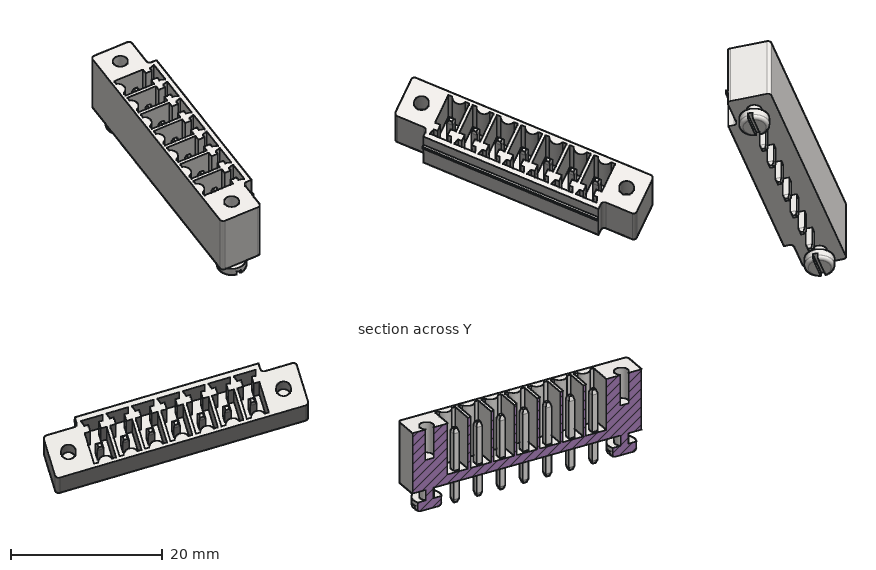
import cadquery as cq

LENGTH = 34.8
HEIGHT = 9.2
FLANGE_HALF_DEPTH = 3.0
CORNER_RADIUS = 0.5
REAR_BLOCK_LENGTH = 25.25
REAR_FACE_Y = 4.25

RIB_PROJECTION = 0.3
RIB_HEIGHT = 0.6
RIB_TOP_DROP = 2.9

CONTACT_COUNT = 7
ROW_SPAN = 21.02
PITCH = ROW_SPAN / (CONTACT_COUNT - 1)

CAVITY_WIDTH = 3.03
CAVITY_FRONT_Y = -2.5
FLOOR_THICKNESS = 1.5
CAVITY_DEPTH = HEIGHT - FLOOR_THICKNESS
NECK_WIDTH = 1.45
NECK_FRONT_Y = 1.8
NECK_REAR_Y = 2.75
DOVETAIL_FRONT_WIDTH = 2.5
DOVETAIL_REAR_Y = 3.5
KEY_RADIUS = 1.0
KEY_CENTRE_Y = -2.85

PIN_WIDTH = 0.87
PIN_TIP_WIDTH = 0.5
PIN_TAPER = 0.6
PIN_BOTTOM_Z = -3.4
PIN_TOP_DROP = 1.45
PIN_TOP_Z = HEIGHT - PIN_TOP_DROP

SCREW_X = 14.8
SCREW_DIAMETER = 2.0
HEAD_DIAMETER = 4.0
SHANK_LENGTH = 1.5
HEAD_HEIGHT = 1.5
HEAD_EDGE_RADIUS = 0.5
SLOT_WIDTH = 0.65
SLOT_DEPTH = 0.8
SCREW_HOLE_DEPTH = HEIGHT / 2


def make_housing():
    """T-shaped block: a long flange with a shorter block behind it, and a rib on the rear face."""
    half_length = LENGTH / 2
    half_block = REAR_BLOCK_LENGTH / 2
    outline = [
        (-half_length, -FLANGE_HALF_DEPTH),
        (half_length, -FLANGE_HALF_DEPTH),
        (half_length, FLANGE_HALF_DEPTH),
        (half_block, FLANGE_HALF_DEPTH),
        (half_block, REAR_FACE_Y),
        (-half_block, REAR_FACE_Y),
        (-half_block, FLANGE_HALF_DEPTH),
        (-half_length, FLANGE_HALF_DEPTH),
    ]
    block = cq.Workplane("XY").polyline(outline).close().extrude(HEIGHT)
    block = block.edges("|Z").edges("not >Y").fillet(CORNER_RADIUS)
    rib_centre_z = HEIGHT - RIB_TOP_DROP - RIB_HEIGHT / 2
    rib = cq.Workplane("XY").box(REAR_BLOCK_LENGTH, 2 * RIB_PROJECTION, RIB_HEIGHT)
    rib = rib.translate((0, REAR_FACE_Y, rib_centre_z))
    return block.union(rib)


def make_cavity():
    """Contact cavity open at the top: main chamber, neck, dovetail and a rounded key at the front."""
    half_cavity = CAVITY_WIDTH / 2
    half_neck = NECK_WIDTH / 2
    half_dovetail = DOVETAIL_FRONT_WIDTH / 2
    right_side = [
        (half_cavity, CAVITY_FRONT_Y),
        (half_cavity, NECK_FRONT_Y),
        (half_neck, NECK_FRONT_Y),
        (half_neck, NECK_REAR_Y),
        (half_dovetail, NECK_REAR_Y),
        (half_cavity, DOVETAIL_REAR_Y),
    ]
    left_side = [(-x, y) for x, y in reversed(right_side)]
    floor = cq.Workplane("XY").workplane(offset=FLOOR_THICKNESS)
    cavity = floor.polyline(right_side + left_side).close().extrude(CAVITY_DEPTH)
    key = floor.center(0, KEY_CENTRE_Y).circle(KEY_RADIUS).extrude(CAVITY_DEPTH)
    return cavity.cut(key)


def make_pin():
    """Square pin with a blunt pyramid on each end."""
    shaft_bottom = PIN_BOTTOM_Z + PIN_TAPER
    shaft_top = PIN_TOP_Z - PIN_TAPER
    shaft = (
        cq.Workplane("XY").workplane(offset=shaft_bottom)
        .rect(PIN_WIDTH, PIN_WIDTH).extrude(shaft_top - shaft_bottom)
    )

    def tip(base_z, end_z):
        return (
            cq.Workplane("XY").workplane(offset=base_z).rect(PIN_WIDTH, PIN_WIDTH)
            .workplane(offset=end_z - base_z).rect(PIN_TIP_WIDTH, PIN_TIP_WIDTH)
            .loft(ruled=True)
        )

    return shaft.union(tip(shaft_bottom, PIN_BOTTOM_Z)).union(tip(shaft_top, PIN_TOP_Z))


def make_screw():
    """Shank below the housing with a round, slotted head."""
    shank = cq.Workplane("XY").circle(SCREW_DIAMETER / 2).extrude(-SHANK_LENGTH)
    head = (
        cq.Workplane("XY").workplane(offset=-SHANK_LENGTH)
        .circle(HEAD_DIAMETER / 2).extrude(-HEAD_HEIGHT)
        .faces("<Z").edges().fillet(HEAD_EDGE_RADIUS)
    )
    slot = (
        cq.Workplane("XY").workplane(offset=-SHANK_LENGTH - HEAD_HEIGHT)
        .rect(HEAD_DIAMETER, SLOT_WIDTH).extrude(SLOT_DEPTH)
    )
    return shank.union(head.cut(slot))


def make_screw_hole():
    """Blind hole from the top face, in line with the screw."""
    top_face = cq.Workplane("XY").workplane(offset=HEIGHT)
    return top_face.circle(SCREW_DIAMETER / 2).extrude(-SCREW_HOLE_DEPTH)


result = make_housing()

cavity = make_cavity()
pin = make_pin()
for index in range(CONTACT_COUNT):
    position = (index * PITCH - ROW_SPAN / 2, 0, 0)
    result = result.cut(cavity.translate(position)).union(pin.translate(position))

screw = make_screw()
screw_hole = make_screw_hole()
for side in (-1, 1):
    position = (side * SCREW_X, 0, 0)
    result = result.cut(screw_hole.translate(position)).union(screw.translate(position))